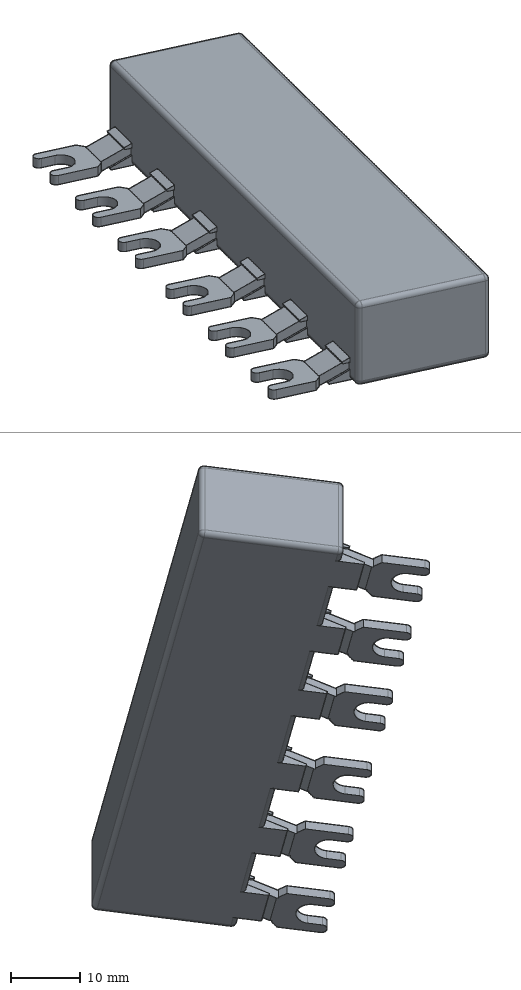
import cadquery as cq
import math

body_length = 84.2
body_height = 13.5
total_depth = 34.2
terminal_reach = 13.0
body_depth = total_depth - terminal_reach
body_edge_radius = 0.8

terminal_pitch = 14.4
group_gap = 16.2
terminals_per_group = 3
layout_offset = -0.1

lug_thickness = 1.5
neck_width = 5.05
neck_slope = math.radians(20)
bend_reach = 4.8
fork_width = 7.5
shoulder_chamfer = 1.0
slot_width = 4.1
slot_end_reach = 7.9

sleeve_width = 5.7
hood_reach = 1.3
hood_thickness = 0.3
sill_reach = 3.45
root_depth = body_edge_radius

rise = math.tan(neck_slope)
under_bend_reach = bend_reach - lug_thickness * math.tan(neck_slope / 2)


def neck_top(reach):
    return lug_thickness + (bend_reach - reach) * rise


def neck_bottom(reach):
    return (under_bend_reach - reach) * rise


def extrude_side_profile(points, width):
    """Extrude (reach, height) points along X, centred; reach is measured from the face toward -Y."""
    outline = [(-reach, height) for reach, height in points]
    return cq.Workplane("YZ").polyline(outline).close().extrude(width / 2, both=True)


def make_body():
    block = cq.Workplane("XY").box(body_length, body_depth, body_height, centered=(True, False, False))
    return block.edges().fillet(body_edge_radius)


def make_neck():
    profile = [
        (-root_depth, neck_top(-root_depth)),
        (bend_reach, lug_thickness),
        (bend_reach, 0),
        (under_bend_reach, 0),
        (-root_depth, neck_bottom(-root_depth)),
    ]
    return extrude_side_profile(profile, neck_width)


def make_fork():
    half_width = fork_width / 2
    half_shoulder = half_width - shoulder_chamfer
    slot_radius = slot_width / 2
    slot_arc_y = -slot_end_reach - slot_radius
    tip_radius = (half_width - slot_radius) / 2
    prong_centre = slot_radius + tip_radius
    tip_arc_y = -terminal_reach + tip_radius
    return (
        cq.Workplane("XY")
        .moveTo(-half_shoulder, -bend_reach)
        .lineTo(-half_width, -bend_reach - shoulder_chamfer)
        .lineTo(-half_width, tip_arc_y)
        .threePointArc((-prong_centre, -terminal_reach), (-slot_radius, tip_arc_y))
        .lineTo(-slot_radius, slot_arc_y)
        .threePointArc((0, -slot_end_reach), (slot_radius, slot_arc_y))
        .lineTo(slot_radius, tip_arc_y)
        .threePointArc((prong_centre, -terminal_reach), (half_width, tip_arc_y))
        .lineTo(half_width, -bend_reach - shoulder_chamfer)
        .lineTo(half_shoulder, -bend_reach)
        .close()
        .extrude(lug_thickness)
    )


def make_hood():
    heel_reach = hood_reach - hood_thickness * math.sin(neck_slope)
    hood_top_lift = hood_thickness / math.cos(neck_slope)
    profile = [
        (-root_depth, neck_top(-root_depth) + hood_top_lift),
        (hood_reach, neck_top(hood_reach) + hood_top_lift),
        (heel_reach, neck_top(heel_reach)),
        (-root_depth, neck_top(heel_reach)),
    ]
    return extrude_side_profile(profile, sleeve_width)


def make_sill():
    tip_height = neck_bottom(sill_reach)
    profile = [
        (-root_depth, neck_bottom(-root_depth)),
        (sill_reach, tip_height),
        (sill_reach - tip_height * rise, 0),
        (-root_depth, 0),
    ]
    return extrude_side_profile(profile, sleeve_width)


terminal = make_neck().union(make_fork()).union(make_hood()).union(make_sill())

result = make_body()
for side in (-1, 1):
    for index in range(terminals_per_group):
        terminal_x = layout_offset + side * (group_gap / 2 + index * terminal_pitch)
        result = result.union(terminal.translate((terminal_x, 0, 0)))